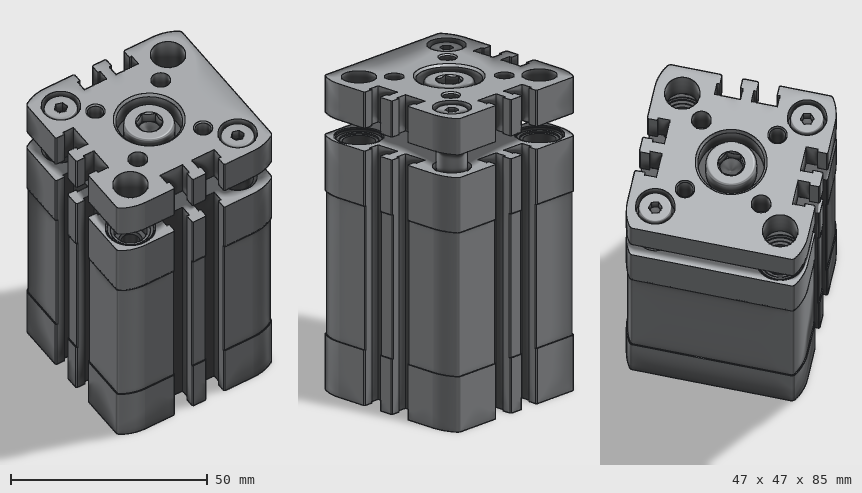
import cadquery as cq
import math

WIDTH = 47.0
HALF = WIDTH / 2
HOUSING_HEIGHT = 69.0
CAP_HEIGHT = 15.0
BARREL_INSET = 0.3
PLATE_TOP = 85.0
PLATE_THICKNESS = 9.8
PLATE_BOTTOM = PLATE_TOP - PLATE_THICKNESS

CORNER_ARC_RADIUS = 12.3
CORNER_ARC_START = 16.4
CORNER_BLEND = 1.3

SLOT_MOUTH_NEAR = 2.1
SLOT_MOUTH_FAR = 7.45
SLOT_NECK_NEAR = 1.4
SLOT_NECK_FAR = 8.2
SLOT_LIP = 2.7
SLOT_EDGE_CHAMFER = 0.3
SLOT_DEPTH = 5.8
SLOT_SIDES = (90, 180, 270)

CORNER = 16.25
GUIDE_POINTS = [(CORNER, CORNER), (-CORNER, -CORNER)]
MOUNT_POINTS = [(-CORNER, CORNER), (CORNER, -CORNER)]

ROD_DIAMETER = 12.0
ROD_ACROSS_FLATS = 10.0
FLAT_BOTTOM = HOUSING_HEIGHT + 1.3
FLAT_RUNOUT = 0.7
GUIDE_DIAMETER = 8.0
GUIDE_SEAT_DIAMETER = 10.0
ROD_END = HOUSING_HEIGHT - CAP_HEIGHT

MOUNT_THREAD = 4.92
MOUNT_THREAD_MOUTH = 6.0
MOUNT_SOCKET_DEPTH = 4.8
MOUNT_STEPS = [
    (12.8, 0.4),
    (11.9, 1.0),
    (10.2, 1.4),
    (8.5, MOUNT_SOCKET_DEPTH),
    (MOUNT_THREAD, HOUSING_HEIGHT),
]

ACCESS_HOLE = 9.0
PITCH = 9.9
DOWEL_POINTS = [(-PITCH, PITCH), (PITCH, -PITCH)]
THREAD_POINTS = [(PITCH, PITCH), (-PITCH, -PITCH)]
DOWEL_HOLE = 5.0
PLATE_THREAD = 4.13
PLATE_THREAD_MOUTH = 4.92

BORE_DIAMETER = 17.0
BORE_CHAMFER = 0.65
BORE_DEPTH = 6.2
ROD_SCREW_HEAD = 13.0
ROD_SCREW_SINK = 0.9
ROD_SCREW_ROUND = 0.85
ROD_SCREW_SOCKET = 6.0
ROD_SCREW_SOCKET_DEPTH = 3.1
ROD_SCREW_DRILL = 4.0
SOCKET_SLOPE = 30.0
DRILL_SLOPE = 31.0
ROD_SCREW_SOCKET_CORNERS = ROD_SCREW_SOCKET / math.cos(math.pi / 6)

GUIDE_BORE = 10.0
GUIDE_BORE_DEPTH = 5.0
GUIDE_SCREW_HEAD = 8.5
GUIDE_SCREW_SINK = 0.7
GUIDE_SCREW_ROUND = 0.5
GUIDE_SCREW_SOCKET = 3.0
GUIDE_SCREW_SOCKET_DEPTH = 3.0
GUIDE_SCREW_TURN = 15.0


def cylinder(diameter, bottom, top, points=((0, 0),)):
    return (cq.Workplane("XY").workplane(offset=bottom).pushPoints(points)
            .circle(diameter / 2).extrude(top - bottom))


def at_points(tool, points):
    return cq.Workplane("XY").pushPoints(points).eachpoint(lambda place: tool.moved(place), combine=False)


def countersink(wide, narrow, top, points=((0, 0),)):
    """45 degree cone, wide at `top` and narrowing downward."""
    depth = (wide - narrow) / 2
    cone = cq.Solid.makeCone(narrow / 2, wide / 2, depth, cq.Vector(0, 0, top - depth))
    return at_points(cone, points)


def hexagon(across_flats, bottom, top, points=((0, 0),), turn=0):
    corner_diameter = across_flats / math.cos(math.pi / 6)
    tool = (cq.Workplane("XY").workplane(offset=bottom)
            .polygon(6, corner_diameter).extrude(top - bottom)
            .rotate((0, 0, 0), (0, 0, 1), turn))
    return at_points(tool.val(), points)


def slot_pair(bottom, top, face):
    """Two T-slots cut into the +Y side, whose surface lies at Y = `face`, with chamfered mouths."""
    lip_bottom = HALF - SLOT_LIP
    floor = HALF - SLOT_DEPTH
    shoulder = face - SLOT_EDGE_CHAMFER
    slot = (cq.Workplane("XY").workplane(offset=bottom)
            .polyline([
                (SLOT_NECK_NEAR, floor),
                (SLOT_NECK_FAR, floor),
                (SLOT_NECK_FAR, lip_bottom),
                (SLOT_MOUTH_FAR, lip_bottom),
                (SLOT_MOUTH_FAR, shoulder),
                (SLOT_MOUTH_FAR + SLOT_EDGE_CHAMFER, face),
                (SLOT_MOUTH_NEAR - SLOT_EDGE_CHAMFER, face),
                (SLOT_MOUTH_NEAR, shoulder),
                (SLOT_MOUTH_NEAR, lip_bottom),
                (SLOT_NECK_NEAR, lip_bottom),
            ])
            .close().extrude(top - bottom))
    return slot.union(slot.mirror("YZ"))


def block(bottom, top, inset=0.0):
    """Slice of the slotted profile between two heights, drawn in by `inset` all round."""
    half = HALF - inset
    radius = CORNER_ARC_RADIUS - inset
    start = CORNER_ARC_START
    rise = half - start
    end = half - radius + math.sqrt(radius**2 - rise**2)
    half_angle = math.asin(rise / radius) / 2
    mid_x = half - radius + radius * math.cos(half_angle)
    mid_y = start + radius * math.sin(half_angle)
    body = (cq.Workplane("XY").workplane(offset=bottom)
            .moveTo(half, -start)
            .lineTo(half, start)
            .threePointArc((mid_x, mid_y), (end, half))
            .lineTo(-end, half)
            .threePointArc((-mid_x, mid_y), (-half, start))
            .lineTo(-half, -start)
            .threePointArc((-mid_x, -mid_y), (-end, -half))
            .lineTo(end, -half)
            .threePointArc((mid_x, -mid_y), (half, -start))
            .close().extrude(top - bottom))
    body = body.faces("<Y or >Y").edges("|Z").fillet(CORNER_BLEND - inset)
    slots = slot_pair(bottom, top, half)
    for turn in SLOT_SIDES:
        body = body.cut(slots.rotate((0, 0, 0), (0, 0, 1), turn))
    return body


def make_housing():
    """Two end caps with a slightly slimmer barrel between them, bored for the rods and mounts."""
    upper_cap = HOUSING_HEIGHT - CAP_HEIGHT
    body = block(0, CAP_HEIGHT)
    body = body.union(block(CAP_HEIGHT, upper_cap, BARREL_INSET))
    body = body.union(block(upper_cap, HOUSING_HEIGHT))
    body = body.cut(cylinder(ROD_DIAMETER, ROD_END, HOUSING_HEIGHT))
    body = body.cut(cylinder(GUIDE_DIAMETER, ROD_END, HOUSING_HEIGHT, GUIDE_POINTS))
    body = body.cut(countersink(GUIDE_SEAT_DIAMETER, GUIDE_DIAMETER, HOUSING_HEIGHT, GUIDE_POINTS))
    for diameter, depth in MOUNT_STEPS:
        body = body.cut(cylinder(diameter, HOUSING_HEIGHT - depth, HOUSING_HEIGHT, MOUNT_POINTS))
    floor = HOUSING_HEIGHT - MOUNT_SOCKET_DEPTH
    body = body.cut(countersink(MOUNT_THREAD_MOUTH, MOUNT_THREAD, floor, MOUNT_POINTS))
    return body


def socket_bottom(top):
    """Conical end of the rod screw's socket: a cone, then a slightly steeper drill point."""
    outer = ROD_SCREW_SOCKET / 2
    inner = ROD_SCREW_DRILL / 2
    shallow = (outer - inner) * math.tan(math.radians(SOCKET_SLOPE))
    point = inner * math.tan(math.radians(DRILL_SLOPE))
    return (cq.Workplane("XZ")
            .polyline([(0, top), (outer, top), (inner, top - shallow), (0, top - shallow - point)])
            .close().revolve(360, (0, 0, 0), (0, 1, 0)))


def make_rod():
    """Piston rod with two wrench flats that run out at a slope."""
    rod = cylinder(ROD_DIAMETER, ROD_END, PLATE_BOTTOM)
    flat = ROD_ACROSS_FLATS / 2
    radius = ROD_DIAMETER / 2
    cutter = (cq.Workplane("YZ")
              .polyline([(flat, PLATE_BOTTOM), (flat, FLAT_BOTTOM), (radius, FLAT_BOTTOM - FLAT_RUNOUT),
                         (radius, PLATE_BOTTOM)])
              .close().extrude(radius, both=True))
    return rod.cut(cutter).cut(cutter.mirror("XZ"))


def make_plate():
    """Front plate with its access, dowel and threaded holes and the two kinds of screw bore."""
    plate = block(PLATE_BOTTOM, PLATE_TOP)
    for diameter, points in (
        (ACCESS_HOLE, MOUNT_POINTS),
        (DOWEL_HOLE, DOWEL_POINTS),
        (PLATE_THREAD, THREAD_POINTS),
    ):
        plate = plate.cut(cylinder(diameter, PLATE_BOTTOM, PLATE_TOP, points))
    plate = plate.cut(countersink(PLATE_THREAD_MOUTH, PLATE_THREAD, PLATE_TOP, THREAD_POINTS))
    plate = plate.cut(cylinder(BORE_DIAMETER, PLATE_TOP - BORE_DEPTH, PLATE_TOP))
    plate = plate.cut(countersink(BORE_DIAMETER + 2 * BORE_CHAMFER, BORE_DIAMETER, PLATE_TOP))
    return plate.cut(cylinder(GUIDE_BORE, PLATE_TOP - GUIDE_BORE_DEPTH, PLATE_TOP, GUIDE_POINTS))


def make_rod_screw():
    """Head of the central screw, with a countersunk hexagon socket."""
    top = PLATE_TOP - ROD_SCREW_SINK
    head = cylinder(ROD_SCREW_HEAD, PLATE_TOP - BORE_DEPTH, top)
    head = head.faces(">Z").edges().fillet(ROD_SCREW_ROUND)
    head = head.cut(hexagon(ROD_SCREW_SOCKET, top - ROD_SCREW_SOCKET_DEPTH, top))
    head = head.cut(countersink(ROD_SCREW_SOCKET_CORNERS, ROD_SCREW_SOCKET, top))
    return head.cut(socket_bottom(top - ROD_SCREW_SOCKET_DEPTH))


def make_guide_screws():
    """Heads of the two screws that hold the guide rods."""
    top = PLATE_TOP - GUIDE_SCREW_SINK
    heads = cylinder(GUIDE_SCREW_HEAD, PLATE_TOP - GUIDE_BORE_DEPTH, top, GUIDE_POINTS)
    heads = heads.faces(">Z").edges().fillet(GUIDE_SCREW_ROUND)
    socket_floor = top - GUIDE_SCREW_SOCKET_DEPTH
    return heads.cut(hexagon(GUIDE_SCREW_SOCKET, socket_floor, top, GUIDE_POINTS, GUIDE_SCREW_TURN))


def make_moving_unit():
    """Plate, piston rod, guide rods and their screws, which move together as one body."""
    guide_rods = cylinder(GUIDE_DIAMETER, ROD_END, PLATE_BOTTOM, GUIDE_POINTS)
    return (make_plate()
            .union(make_rod_screw())
            .union(make_guide_screws())
            .union(make_rod())
            .union(guide_rods))


housing = make_housing()
moving_unit = make_moving_unit()
result = cq.Compound.makeCompound([housing.val(), moving_unit.val()])